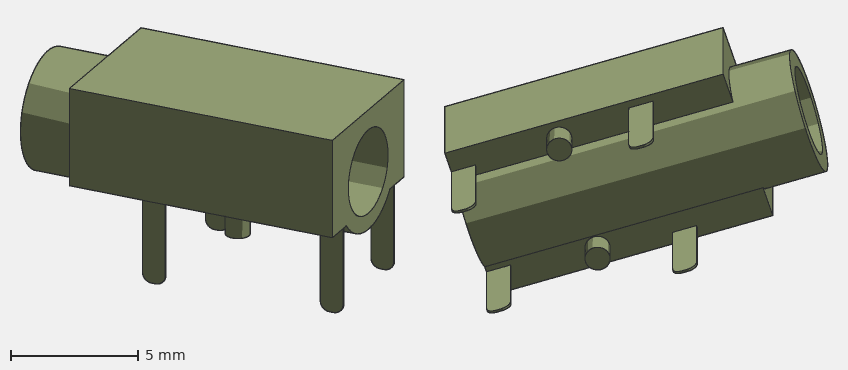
import cadquery as cq

total_length = 14.0
housing_start = 2.5
housing_width = 6.5
housing_height = 4.2

barrel_diameter = 5.0
bore_diameter = 3.6
barrel_axis_below_top = 2.66
barrel_axis_z = housing_height - barrel_axis_below_top

peg_diameter = 1.0
peg_length = 1.0
peg_x = 9.5
peg_offset_y = 2.5

tab_length = 3.7
tab_width = 1.0
tab_thickness = 0.1
tab_corner_radius = 0.4
front_tab_start = 5.5
front_tab_offset_y = 2.85
rear_tab_start = total_length - tab_width
rear_tab_offset_y = 2.3


def cylinder_along_x(diameter):
    return (
        cq.Workplane("YZ")
        .center(0, barrel_axis_z)
        .circle(diameter / 2)
        .extrude(total_length)
    )


def solder_tab(start_x, face_y):
    plate = cq.Workplane("XY").box(tab_width, tab_thickness, tab_length, centered=False)
    return (
        plate.edges("|Y and <Z")
        .fillet(tab_corner_radius)
        .translate((start_x, face_y, -tab_length))
    )


housing = (
    cq.Workplane("XY")
    .box(total_length - housing_start, housing_width, housing_height, centered=(False, True, False))
    .translate((housing_start, 0, 0))
)
pegs = (
    cq.Workplane("XY")
    .pushPoints([(peg_x, -peg_offset_y), (peg_x, peg_offset_y)])
    .circle(peg_diameter / 2)
    .extrude(-peg_length)
)

result = housing.union(cylinder_along_x(barrel_diameter)).union(pegs)
result = result.cut(cylinder_along_x(bore_diameter))

for side in (-1, 1):
    result = result.union(solder_tab(front_tab_start, side * front_tab_offset_y))
    result = result.union(solder_tab(rear_tab_start, side * rear_tab_offset_y))